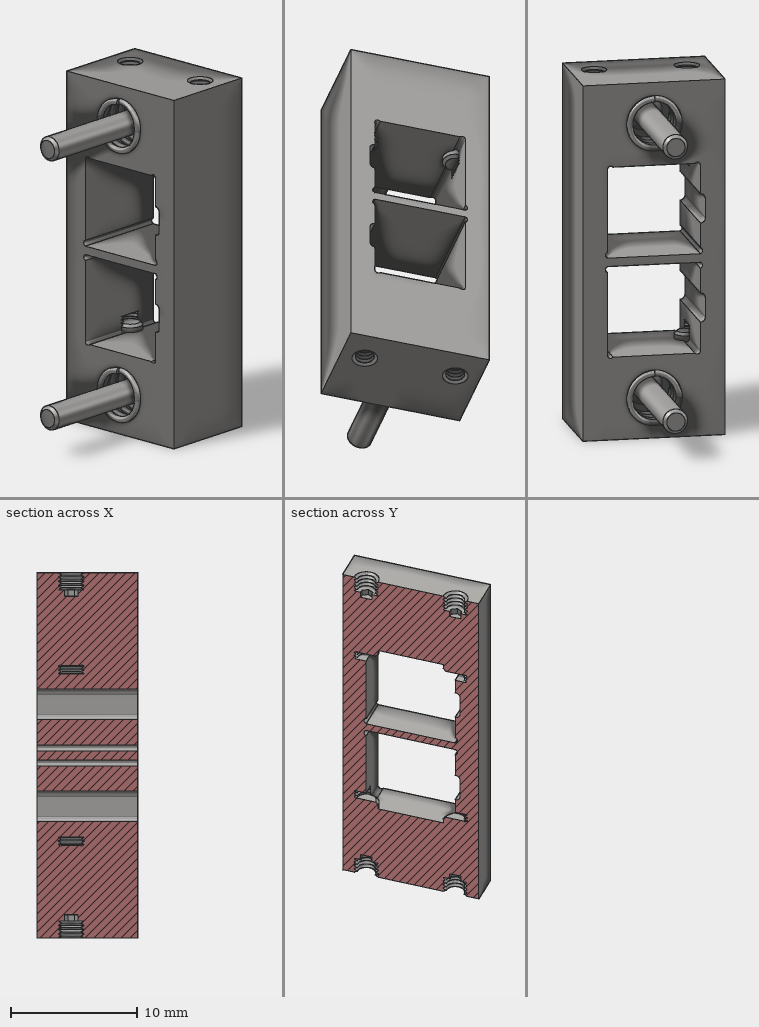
import cadquery as cq
import math

block_width = 11.5
block_depth = 8.0
block_height = 29.0

web_thickness = 0.7
window_width = 7.5
window_height = 7.4
window_z = (web_thickness + window_height) / 2
relief_radius = 0.25
relief_bite = 0.17
end_relief_bite = 0.1
groove_width = 2.38
groove_depth = 0.4

pin_z = 11.2
pin_diameter = 2.0
pin_reach = 8.55
pin_chamfer = 0.25
pin_foot_diameter = 3.0
bore_radius = 2.1
bore_depth = 4.0
wire_radius = 0.25
coil_radius = 2.0
coil_proud = 0.44
coil_pitch = 1.0
coil_turns = 3

screw_x = window_width / 2
screw_y = 5.28
screw_radius = 1.02
thread_core_radius = 0.75
thread_pitch = 0.4
screw_recess = 1.35
tip_reach = 0.6
tip_chamfer = 0.23
tapped_depth = 8.0
socket_flats = 0.9
socket_depth = 0.5

half_height = block_height / 2
tip_depth = half_height - web_thickness / 2 - window_height + tip_reach


def upper_window():
    """Cutter for the upper window with its corner reliefs and side groove."""
    length = block_depth
    floor_z = web_thickness / 2
    top_z = floor_z + window_height
    wall_x = window_width / 2
    side_relief_x = wall_x + relief_bite - relief_radius
    reliefs = [
        (side * x, z)
        for side in (-1, 1)
        for x, z in (
            (side_relief_x, floor_z + relief_radius),
            (wall_x - relief_radius, top_z + end_relief_bite - relief_radius),
        )
    ]
    opening = (
        cq.Workplane("XZ")
        .center(0, window_z)
        .rect(window_width, window_height)
        .extrude(-length)
        .edges("|Y and >Z")
        .fillet(relief_radius - end_relief_bite)
    )
    corners = cq.Workplane("XZ").pushPoints(reliefs).circle(relief_radius).extrude(-length)
    groove = (
        cq.Workplane("XZ")
        .center(wall_x, window_z)
        .rect(2 * groove_depth, groove_width)
        .extrude(-length)
        .edges("|Y and >X")
        .fillet(groove_depth)
    )
    return opening.union(corners).union(groove)


def threaded_cutter(start, end):
    """Ring-grooved cutter between two depths below the top end of the block."""
    turns = math.ceil((end - start) / thread_pitch)
    step = (end - start) / turns
    outline = [(0, -start)]
    for turn in range(turns):
        outline.append((screw_radius, -start - turn * step))
        outline.append((thread_core_radius, -start - (turn + 0.5) * step))
    outline += [(screw_radius, -end), (0, -end)]
    profile = cq.Workplane("XZ").polyline(outline).close()
    return profile.revolve(360, (0, 0, 0), (0, 1, 0)).translate((0, screw_y, half_height))


def set_screw():
    """Shank of a set screw with a chamfered tip."""
    shank = cq.Workplane("XY").circle(screw_radius).extrude(screw_recess - tip_depth)
    shank = shank.faces("<Z").chamfer(tip_chamfer)
    return shank.translate((0, screw_y, half_height - screw_recess))


def socket_cutter():
    """Hexagon socket in the head of a set screw, with two corners along Y."""
    across_corners = socket_flats / math.cos(math.pi / 6)
    hexagon = cq.Workplane("XY").polygon(6, across_corners).extrude(-socket_depth)
    hexagon = hexagon.rotate((0, 0, 0), (0, 0, 1), 30)
    return hexagon.translate((0, screw_y, half_height - screw_recess))


def pin():
    """Chamfered pin with a 45 degree conical foot, standing on the floor of the bore."""
    pin_radius = pin_diameter / 2
    foot_radius = pin_foot_diameter / 2
    shaft = cq.Workplane("XZ").circle(pin_radius).extrude(pin_reach + bore_depth)
    shaft = shaft.faces("<Y").chamfer(pin_chamfer)
    foot_height = foot_radius - pin_radius
    foot = cq.Solid.makeCone(foot_radius, pin_radius, foot_height, dir=cq.Vector(0, -1, 0))
    return shaft.union(cq.Workplane(foot)).translate((0, bore_depth, 0))


def spring():
    """Coil spring whose flat outer turn stands proud of the front face."""
    drop = coil_turns * coil_pitch
    end_turn = (
        cq.Workplane("XZ")
        .center(coil_radius, 0)
        .circle(wire_radius)
        .revolve(270, (-coil_radius, 0.3, 0), (-coil_radius, 0, 0))
    )
    path = cq.Wire.makeHelix(coil_pitch, drop, coil_radius, lefthand=True)
    coils = cq.Workplane("XZ").center(coil_radius, 0).circle(wire_radius).sweep(path, isFrenet=True)
    coils = coils.translate((0, 0, -drop))
    return [
        body.rotate((0, 0, 0), (1, 0, 0), 90).translate((0, wire_radius - coil_proud, 0))
        for body in (end_turn, coils)
    ]


def both_ends(body):
    """The upper body and its mirror image in the lower half."""
    return [body, body.mirror("XY")]


result = cq.Workplane("XY").box(block_width, block_depth, block_height).translate((0, block_depth / 2, 0))
bore = cq.Workplane("XZ").center(0, pin_z).circle(bore_radius).extrude(-bore_depth)
for cutter in both_ends(upper_window()) + both_ends(bore):
    result = result.cut(cutter)

recess = threaded_cutter(0, screw_recess)
tip_pocket = threaded_cutter(tip_depth - tip_chamfer, tapped_depth)
for x in (-screw_x, screw_x):
    for cutter in (recess, tip_pocket):
        for body in both_ends(cutter.translate((x, 0, 0))):
            result = result.cut(body)
    for body in both_ends(set_screw().translate((x, 0, 0))):
        result = result.union(body)
    for body in both_ends(socket_cutter().translate((x, 0, 0))):
        result = result.cut(body)

for z in (-pin_z, pin_z):
    for body in [pin()] + spring():
        result = result.union(body.translate((0, 0, z)))